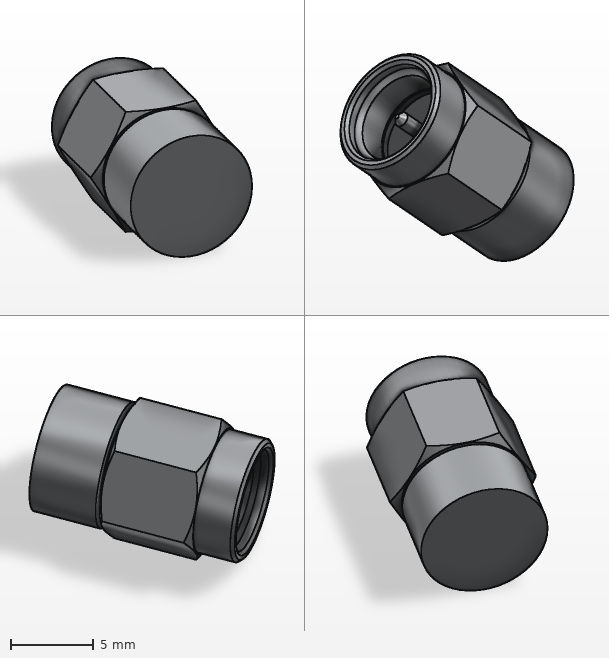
import cadquery as cq
import math

total_length = 13.15
hex_start = 2.59
hex_end = 8.6
body_start = 8.86

hex_across_flats = 8.0
sleeve_radius = 3.89
neck_radius = 3.17
body_radius = hex_across_flats / 2

sleeve_chamfer = 0.21
hex_bevel_radius = 3.97
hex_bevel_angle = math.radians(30)

mouth_radius = 3.4
entry_radius = 3.2
bore_radius = 2.84
mouth_bevel_end = mouth_radius - entry_radius
entry_end = 0.74
bore_start = 1.05
groove_start = 2.99
groove_width = 0.1
groove_depth = 0.07
socket_floor = 3.51

pin_radius = 0.47
pin_tip_radius = 0.15
pin_tip = 0.87
pin_shoulder = 1.3


def revolve_about_x(points):
    """Solid of revolution about X from a closed (x, radius) outline."""
    return cq.Workplane("XY").polyline(points).close().revolve(360, (0, 0, 0), (1, 0, 0))


def round_body():
    """Coupling sleeve, neck and rear barrel."""
    return revolve_about_x([
        (0, 0),
        (0, sleeve_radius - sleeve_chamfer),
        (sleeve_chamfer, sleeve_radius),
        (hex_start, sleeve_radius),
        (hex_start, neck_radius),
        (body_start, neck_radius),
        (body_start, body_radius),
        (total_length, body_radius),
        (total_length, 0),
    ])


def hex_nut():
    """Hexagon with corners on +Y and -Y, bevelled at both ends."""
    corner_radius = body_radius / math.cos(math.pi / 6)
    bevel_length = (corner_radius - hex_bevel_radius) * math.tan(hex_bevel_angle)
    prism = (
        cq.Workplane("YZ", origin=(hex_start, 0, 0))
        .polygon(6, 2 * corner_radius)
        .extrude(hex_end - hex_start)
    )
    bevel_envelope = revolve_about_x([
        (hex_start, 0),
        (hex_start, hex_bevel_radius),
        (hex_start + bevel_length, corner_radius),
        (hex_end - bevel_length, corner_radius),
        (hex_end, hex_bevel_radius),
        (hex_end, 0),
    ])
    return prism.intersect(bevel_envelope)


def socket():
    """Volume of the stepped socket, including its narrow inner groove."""
    groove_end = groove_start + groove_width
    groove_radius = bore_radius + groove_depth
    return revolve_about_x([
        (0, 0),
        (0, mouth_radius),
        (mouth_bevel_end, entry_radius),
        (entry_end, entry_radius),
        (bore_start, bore_radius),
        (groove_start, bore_radius),
        (groove_start, groove_radius),
        (groove_end, groove_radius),
        (groove_end, bore_radius),
        (socket_floor, bore_radius),
        (socket_floor, 0),
    ])


def centre_pin():
    """Pin with a blunt conical tip, rooted below the socket floor."""
    pin_root = hex_start + (hex_end - hex_start) / 2
    return revolve_about_x([
        (pin_tip, 0),
        (pin_tip, pin_tip_radius),
        (pin_shoulder, pin_radius),
        (pin_root, pin_radius),
        (pin_root, 0),
    ])


result = round_body().union(hex_nut()).cut(socket()).union(centre_pin())